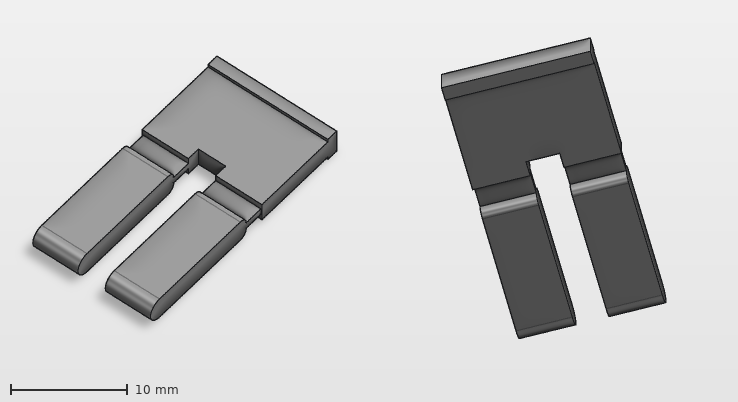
import cadquery as cq

length = 25.15
head_width = 13.2
rim_height = 2.7
rim_length = 1.2
head_length = 10.15
head_thickness = 2.04

prong_span = 12.98
slot_width = 3.0
slot_length = 16.35
prong_width = (prong_span - slot_width) / 2
prong_thickness = 2.45
prong_length = 13.0
back_edge_radius = 0.8

neck_thickness = 0.73

back_y = length / 2
tip_y = -length / 2
head_front_y = back_y - head_length
prong_back_y = tip_y + prong_length
tip_radius = prong_thickness / 2


def block(width, y_start, y_end, thickness, x_center=0.0):
    """Box spanning y_start to y_end, centred on the XY plane."""
    return (
        cq.Workplane("XY")
        .box(width, y_end - y_start, thickness)
        .translate((x_center, (y_start + y_end) / 2, 0))
    )


def make_head():
    """Flat head with a thicker rim along its back edge, slotted at the front."""
    plate = block(head_width, head_front_y, back_y, head_thickness)
    rim = block(head_width, back_y - rim_length, back_y, rim_height)
    slot = block(slot_width, tip_y, tip_y + slot_length, rim_height)
    return plate.union(rim).cut(slot)


def make_prong(x_center):
    """Prong with a fully round tip and rounded back edges, plus its neck."""
    tip = (
        cq.Workplane("YZ")
        .center(tip_y + tip_radius, 0)
        .circle(tip_radius)
        .extrude(prong_width / 2, both=True)
        .translate((x_center, 0, 0))
    )
    blade = (
        block(prong_width, tip_y + tip_radius, prong_back_y, prong_thickness, x_center)
        .faces(">Y")
        .edges("|X")
        .fillet(back_edge_radius)
    )
    neck = block(prong_width, prong_back_y, head_front_y, neck_thickness, x_center)
    return blade.union(tip).union(neck)


result = make_head()
prong_offset = (slot_width + prong_width) / 2
for side in (-1, 1):
    result = result.union(make_prong(side * prong_offset))